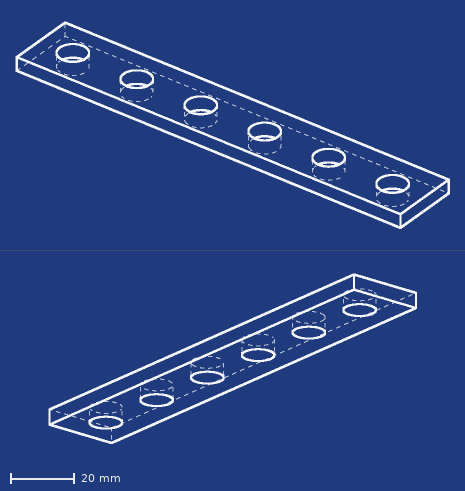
import cadquery as cq

length = 152.4
hole_count = 6
hole_diameter = 10.4
thickness = 5.2

hole_pitch = length / hole_count
width = hole_pitch

bar = cq.Workplane("XY").box(length, width, thickness)

result = (
    bar.faces(">Z")
    .workplane()
    .rarray(hole_pitch, width, hole_count, 1)
    .hole(hole_diameter)
)